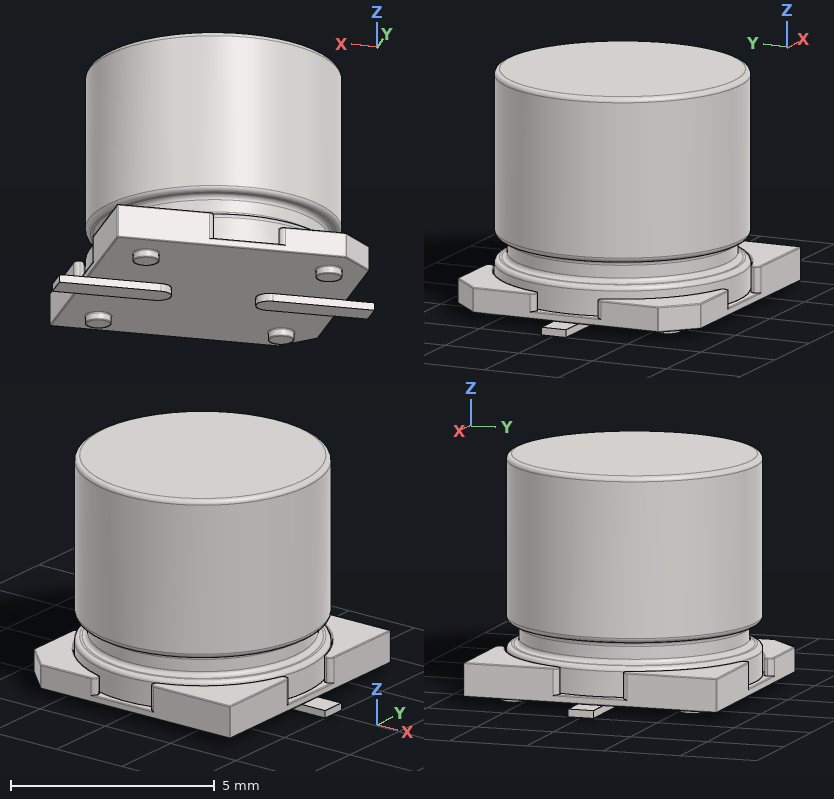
import cadquery as cq
import math

total_length = 8.0
total_height = 5.9

can_diameter = 6.3
can_radius = can_diameter / 2
neck_diameter = 5.67
neck_radius = neck_diameter / 2
can_round = 0.13
neck_bottom = 1.16
neck_top = 1.74

base_width = 6.6
base_half = base_width / 2
corner_cut = 0.79
cut_start = base_half - corner_cut
base_bottom = 0.2
floor_top = 0.39
edge_round = 0.02

low_post_top = 0.84
high_post_top = 1.06
gap_half_width = 0.83
can_clearance = 0.03
recess_radius = can_radius + can_clearance
nose_radius = 0.13

lead_width = 0.67
lead_radius = lead_width / 2
lead_inner_end = 1.08
foot_diameter = 0.63
foot_offset = 2.32


def prism(points, bottom, top):
    """Upright prism on a closed XY outline."""
    return cq.Workplane("XY", origin=(0, 0, bottom)).polyline(points).close().extrude(top - bottom)


def make_floor():
    """Thin plate with the two -X corners cut off."""
    outline = [
        (base_half, -base_half),
        (base_half, base_half),
        (-cut_start, base_half),
        (-base_half, cut_start),
        (-base_half, -cut_start),
        (-cut_start, -base_half),
    ]
    return prism(outline, base_bottom, floor_top).edges("|Z or >Z").fillet(edge_round)


def make_post(x_side, y_side):
    """Corner block with a concave inner wall and rounded noses; the -X pair is lower and cut off."""
    if x_side < 0:
        top = low_post_top
        tip = [(base_half, cut_start), (cut_start, base_half)]
    else:
        top = high_post_top
        tip = [(base_half, base_half)]
    outline = [
        (gap_half_width, gap_half_width),
        (base_half, gap_half_width),
        *tip,
        (gap_half_width, base_half),
    ]
    placed = [(x_side * x, y_side * y) for x, y in outline]
    block = prism(placed, base_bottom, top)
    recess = cq.Workplane("XY").circle(recess_radius).extrude(total_height)
    post = block.cut(recess)

    nose_edges = []
    outer_edges = []
    for edge in post.edges("|Z").vals():
        centre = edge.Center()
        inner_offset = min(abs(centre.x), abs(centre.y))
        on_gap_face = math.isclose(inner_offset, gap_half_width)
        (nose_edges if on_gap_face else outer_edges).append(edge)
    post = post.newObject(nose_edges).fillet(nose_radius)
    post = post.newObject(outer_edges).fillet(edge_round)
    return post.faces(">Z").edges().fillet(edge_round)


def make_can():
    """Revolved can: rounded top, rolled neck groove and rounded lower lip."""
    profile = (
        cq.Workplane("XZ")
        .moveTo(0, base_bottom)
        .lineTo(can_radius, base_bottom)
        .lineTo(can_radius, neck_bottom)
        .lineTo(neck_radius, neck_bottom)
        .lineTo(neck_radius, neck_top)
        .lineTo(can_radius, neck_top)
        .lineTo(can_radius, total_height)
        .lineTo(0, total_height)
        .close()
    )
    can = profile.revolve(360, (0, 0, 0), (0, 1, 0))
    return can.edges("%CIRCLE").edges("not <Z").fillet(can_round)


def make_lead(x_side):
    """Flat terminal reaching outward from a round inner end."""
    round_centre = lead_inner_end + lead_radius
    outer_end = total_length / 2
    straight = (
        cq.Workplane("XY")
        .center(x_side * (round_centre + outer_end) / 2, 0)
        .rect(outer_end - round_centre, lead_width)
        .extrude(base_bottom)
    )
    round_end = (
        cq.Workplane("XY")
        .center(x_side * round_centre, 0)
        .circle(lead_radius)
        .extrude(base_bottom)
    )
    return straight.union(round_end)


def make_foot(x_side, y_side):
    """Round stand-off under one corner of the base."""
    foot = (
        cq.Workplane("XY")
        .center(x_side * foot_offset, y_side * foot_offset)
        .circle(foot_diameter / 2)
        .extrude(base_bottom)
    )
    return foot.edges("<Z").fillet(edge_round)


def make_base():
    """Floor, corner posts and feet, with the underside rounded along its rim and around each foot."""
    base = make_floor()
    for x_side in (-1, 1):
        for y_side in (-1, 1):
            base = base.union(make_post(x_side, y_side))
            base = base.union(make_foot(x_side, y_side))
    underside = base.faces("|Z").faces(">Z[1]")
    return underside.edges().fillet(edge_round)


result = make_base().union(make_can())
for lead_side in (-1, 1):
    result = result.union(make_lead(lead_side))